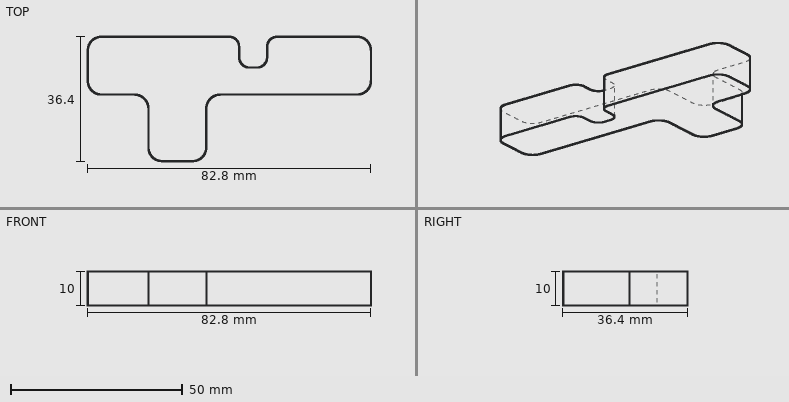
import cadquery as cq

length = 82.75
depth = 36.4
thickness = 10.0

bar_width = 17.0
stem_left = 17.7
stem_width = 17.0
corner_radius = 4.05

notch_left = 44.3
notch_width = 8.1
notch_depth = 9.0
notch_floor_radius = 3.0
notch_mouth_radius = 3.0

bar_front = depth - bar_width
stem_right = stem_left + stem_width
notch_right = notch_left + notch_width
notch_floor = depth - notch_depth


def round_vertical_edges(body, points, radius):
    """Fillet the upright edges that pass through the given XY points."""
    for x, y in points:
        edge = cq.selectors.NearestToPointSelector((x, y, thickness / 2))
        body = body.edges("|Z").edges(edge).fillet(radius)
    return body


bar_corners = [(0, depth), (0, bar_front), (length, bar_front), (length, depth)]
stem_corners = [
    (stem_left, bar_front),
    (stem_left, 0),
    (stem_right, 0),
    (stem_right, bar_front),
]
notch_mouth = [(notch_right, depth), (notch_left, depth)]
notch_corners = [(notch_right, notch_floor), (notch_left, notch_floor)]

bar = cq.Workplane("XY").box(length, bar_width, thickness, centered=False)
bar = bar.translate((0, bar_front, 0))
stem = cq.Workplane("XY").box(stem_width, depth - bar_width, thickness, centered=False)
stem = stem.translate((stem_left, 0, 0))
plate = bar.union(stem).clean()

notch = cq.Workplane("XY").box(notch_width, notch_depth, thickness, centered=False)
plate = plate.cut(notch.translate((notch_left, notch_floor, 0)))

plate = round_vertical_edges(plate, bar_corners + stem_corners, corner_radius)
plate = round_vertical_edges(plate, notch_corners, notch_floor_radius)
result = round_vertical_edges(plate, notch_mouth, notch_mouth_radius)